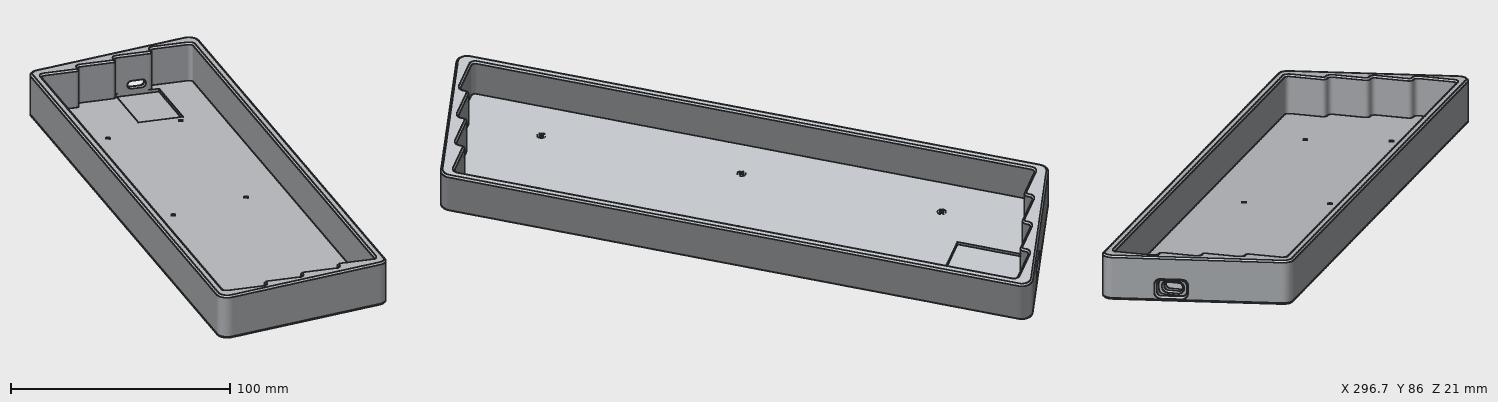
import cadquery as cq
import math

LENGTH = 296.7
DEPTH = 86.0
HEIGHT = 21.0
CORNER_RADIUS = 5.0
BODY_LEAN = 15.5
EDGE_CHAMFER = 1.0

HOLE_SPACING = 95.3
KEYS_PER_HOLE_SPACING = 5
HOLE_DIAMETER = 2.0
HEAD_DIAMETER = 4.0
LIP_THICKNESS = 0.5

KEY_PITCH = HOLE_SPACING / KEYS_PER_HOLE_SPACING
KEYS_PER_ROW = 14
ROW_COUNT = 4
ROW_SHIFT = KEY_PITCH / 4
KEY_CLEARANCE = 0.5
CAVITY_CORNER_RADIUS = 2.0
MOUTH_CHAMFER = 1.0
FLOOR_THICKNESS = 2.5

POCKET_LENGTH = 35.0
POCKET_WIDTH = 21.5
POCKET_DEPTH = 1.5
POCKET_CENTER_Y = 10.7

PORT_CENTER_Z = 6.0
PLUG_WIDTH = 13.5
PLUG_HEIGHT = 7.5
PLUG_CORNER_RADIUS = 2.0
PLUG_CHAMFER = 1.0
RECESS_FLOOR_X = -140.0
SOCKET_WIDTH = 9.0
SOCKET_HEIGHT = 4.0
SOCKET_CHAMFER = 1.0

LEFT_END = -LENGTH / 2
HOLE_ROWS = (
    (-KEY_PITCH / 8, KEY_PITCH),
    (3 * KEY_PITCH / 8, -KEY_PITCH),
)
GRID_LEAN = (ROW_COUNT - 1) * ROW_SHIFT
SECOND_ROW_LEFT = -KEYS_PER_ROW * KEY_PITCH / 2 - GRID_LEAN / 2 + ROW_SHIFT
POCKET_LEFT = SECOND_ROW_LEFT - KEY_CLEARANCE


def make_body():
    """Parallelogram slab with rounded corners and chamfered top and bottom rims."""
    half_depth = DEPTH / 2
    arc_center_spacing = DEPTH - 2 * CORNER_RADIUS
    lean_angle = math.atan2(BODY_LEAN, arc_center_spacing)
    arc_to_corner = CORNER_RADIUS * (1 / math.cos(lean_angle) + math.tan(lean_angle))
    back_left = LEFT_END + CORNER_RADIUS - arc_to_corner
    front_left = back_left + DEPTH * math.tan(lean_angle)
    corners = [
        (back_left, half_depth),
        (-front_left, half_depth),
        (-back_left, -half_depth),
        (front_left, -half_depth),
    ]
    slab = cq.Workplane("XY").polyline(corners).close().extrude(HEIGHT)
    rounded = slab.edges("|Z").fillet(CORNER_RADIUS)
    return rounded.faces("|Z").edges().chamfer(EDGE_CHAMFER)


def make_cavity():
    """Space above the floor for the key rows, each row a box shifted along X."""
    row_length = KEYS_PER_ROW * KEY_PITCH + 2 * KEY_CLEARANCE
    row_depth = KEY_PITCH + 2 * KEY_CLEARANCE
    cavity = cq.Workplane("XY")
    for row in range(ROW_COUNT):
        steps_from_middle = row - (ROW_COUNT - 1) / 2
        row_box = (
            cq.Workplane("XY", origin=(0, 0, FLOOR_THICKNESS))
            .center(steps_from_middle * ROW_SHIFT, -steps_from_middle * KEY_PITCH)
            .rect(row_length, row_depth)
            .extrude(HEIGHT - FLOOR_THICKNESS)
        )
        cavity = cavity.union(row_box)
    return cavity.clean().edges("|Z").fillet(CAVITY_CORNER_RADIUS)


def make_tray():
    """Body with the cavity cut out and the cavity mouth chamfered."""
    tray = make_body().cut(make_cavity())
    mouth = tray.faces(">Z").val().innerWires()[0]
    return tray.newObject(mouth.Edges()).chamfer(MOUTH_CHAMFER)


def make_pocket():
    """Shallow rectangular pocket in the floor for the controller board."""
    pocket = cq.Workplane("XY").box(
        POCKET_LENGTH, POCKET_WIDTH, POCKET_DEPTH, centered=(False, True, False)
    )
    return pocket.translate((POCKET_LEFT, POCKET_CENTER_Y, FLOOR_THICKNESS - POCKET_DEPTH))


def make_holes():
    """Screw holes through the floor, each counterbored from below for the screw head."""
    points = [(x + step * HOLE_SPACING, y) for x, y in HOLE_ROWS for step in (-1, 0, 1)]
    places = cq.Workplane("XY").pushPoints(points)
    shanks = places.circle(HOLE_DIAMETER / 2).extrude(FLOOR_THICKNESS)
    heads = places.circle(HEAD_DIAMETER / 2).extrude(FLOOR_THICKNESS - LIP_THICKNESS)
    return shanks.union(heads)


def port_plane(x):
    """Workplane facing along X, centred on the port."""
    return cq.Workplane("YZ", origin=(x, POCKET_CENTER_Y, PORT_CENTER_Z))


def cut_plug_recess(tray):
    """Rounded recess in the leaning left wall with a chamfered rim."""
    recess = (
        port_plane(LEFT_END)
        .rect(PLUG_WIDTH, PLUG_HEIGHT)
        .extrude(RECESS_FLOOR_X - LEFT_END)
        .edges("|X")
        .fillet(PLUG_CORNER_RADIUS)
    )
    recessed = tray.cut(recess)
    beside_left_wall = cq.selectors.NearestToPointSelector((LEFT_END, 0, HEIGHT / 2))
    rim = recessed.faces(beside_left_wall).val().innerWires()[0]
    return recessed.newObject(rim.Edges()).chamfer(PLUG_CHAMFER)


def make_socket():
    """Slot from the recess into the cavity, flared at the recess floor."""
    slot_length = SECOND_ROW_LEFT - RECESS_FLOOR_X
    slot = port_plane(RECESS_FLOOR_X).slot2D(SOCKET_WIDTH, SOCKET_HEIGHT).extrude(slot_length)
    flare = (
        port_plane(RECESS_FLOOR_X)
        .slot2D(SOCKET_WIDTH + 2 * SOCKET_CHAMFER, SOCKET_HEIGHT + 2 * SOCKET_CHAMFER)
        .extrude(SOCKET_CHAMFER, taper=45)
    )
    return slot.union(flare)


result = cut_plug_recess(make_tray()).cut(make_socket()).cut(make_pocket()).cut(make_holes())